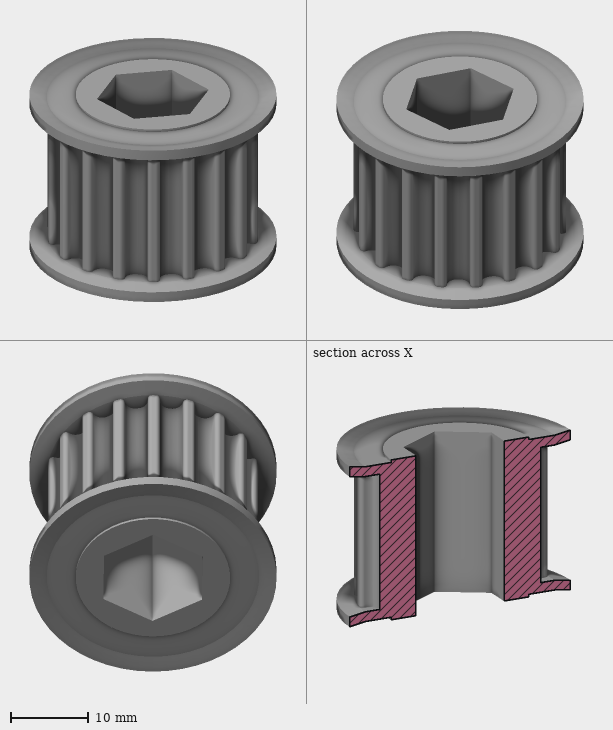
import cadquery as cq
import math

total_height = 22.0
flange_diameter = 32.0
flange_thickness = 1.4
flange_dish = 0.35
hub_diameter = 20.0
hex_across_flats = 12.75

tooth_count = 18
belt_pitch = 5.0
pitch_line_offset = 0.572
groove_depth = 2.06
groove_half_width = 1.5
root_half_flat = 0.15
tip_fillet = 0.55
first_groove_angle = -90.0

flange_radius = flange_diameter / 2
tip_radius = tooth_count * belt_pitch / (2 * math.pi) - pitch_line_offset
root_radius = tip_radius - groove_depth
root_fillet = groove_half_width - root_half_flat
angular_pitch = 360.0 / tooth_count
flange_height = flange_thickness + flange_dish
hex_across_corners = hex_across_flats / math.cos(math.radians(30))


def rotated(point, angle):
    """Turn a (radial, tangential) point by an angle in degrees into XY."""
    radial, tangential = point
    c = math.cos(math.radians(angle))
    s = math.sin(math.radians(angle))
    return (radial * c - tangential * s, radial * s + tangential * c)


def arc_point(centre, radius, angle):
    """Point on a circle at an angle in degrees from the radial direction."""
    return (
        centre[0] + radius * math.cos(math.radians(angle)),
        centre[1] + radius * math.sin(math.radians(angle)),
    )


def groove_half_points():
    """Half of one groove from root to tip, as (radial, tangential) points."""
    root_centre = (root_radius + root_fillet, root_half_flat)
    tip_centre_tangential = groove_half_width + tip_fillet
    tip_centre_distance = tip_radius - tip_fillet
    tip_centre_radial = math.sqrt(tip_centre_distance**2 - tip_centre_tangential**2)
    tip_centre = (tip_centre_radial, tip_centre_tangential)
    tip_angle = math.degrees(math.atan2(tip_centre_tangential, tip_centre_radial))
    return {
        "root_start": (root_radius, root_half_flat),
        "root_middle": arc_point(root_centre, root_fillet, 135),
        "wall_bottom": (root_centre[0], groove_half_width),
        "wall_top": (tip_centre_radial, groove_half_width),
        "tip_middle": arc_point(tip_centre, tip_fillet, (tip_angle - 90) / 2),
        "tip_end": arc_point(tip_centre, tip_fillet, tip_angle),
    }


def toothed_body():
    """Toothed cylinder running between the flat centres of the two flanges."""
    half = groove_half_points()

    def left(name, angle):
        return rotated(half[name], angle)

    def right(name, angle):
        radial, tangential = half[name]
        return rotated((radial, -tangential), angle)

    outline = cq.Workplane("XY").moveTo(*right("tip_end", first_groove_angle))
    for index in range(tooth_count):
        angle = first_groove_angle + index * angular_pitch
        next_angle = angle + angular_pitch
        land_middle = rotated((tip_radius, 0), angle + angular_pitch / 2)
        outline = (
            outline.threePointArc(right("tip_middle", angle), right("wall_top", angle))
            .lineTo(*right("wall_bottom", angle))
            .threePointArc(right("root_middle", angle), right("root_start", angle))
            .lineTo(*left("root_start", angle))
            .threePointArc(left("root_middle", angle), left("wall_bottom", angle))
            .lineTo(*left("wall_top", angle))
            .threePointArc(left("tip_middle", angle), left("tip_end", angle))
            .threePointArc(land_middle, right("tip_end", next_angle))
        )
    body = outline.close().extrude(total_height - 2 * flange_dish)
    return body.translate((0, 0, flange_dish))


def bottom_flange():
    """Sheet flange whose rim is dished away from the teeth."""
    return (
        cq.Workplane("XZ")
        .moveTo(0, flange_dish)
        .lineTo(tip_radius, flange_dish)
        .lineTo(flange_radius, 0)
        .lineTo(flange_radius, flange_thickness)
        .lineTo(tip_radius, flange_height)
        .lineTo(0, flange_height)
        .close()
        .revolve(360, (0, 0, 0), (0, 1, 0))
    )


def top_flange():
    """Mirror image of the bottom flange."""
    return bottom_flange().mirror("XY").translate((0, 0, total_height))


def hub():
    """Central cylinder that stands proud of both dished flange centres."""
    return cq.Workplane("XY").circle(hub_diameter / 2).extrude(total_height)


def hex_bore():
    """Through bore with two corners on the X axis."""
    return cq.Workplane("XY").polygon(6, hex_across_corners).extrude(total_height)


pulley = toothed_body().union(bottom_flange()).union(top_flange()).union(hub())
result = pulley.cut(hex_bore())